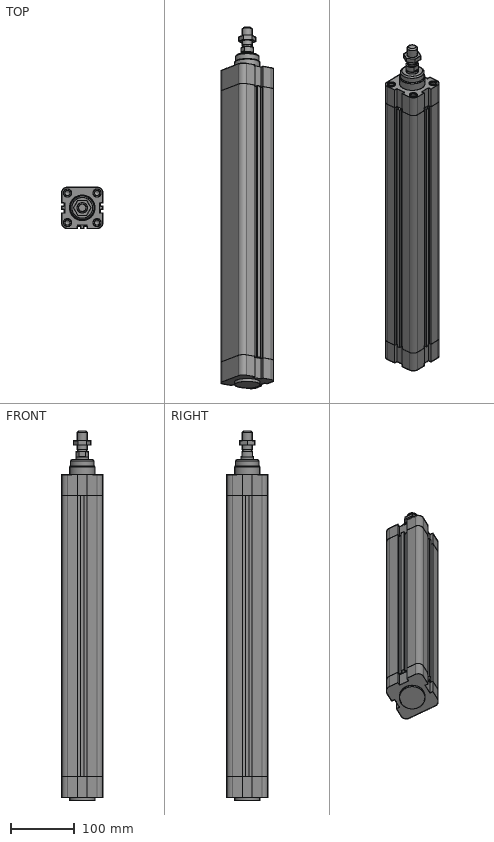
import cadquery as cq
import math

total_height = 579.0
side = 65.0
corner_radius = 9.0

pilot_height = 4.5
cap_height = 33.0
barrel_height = 440.0
barrel_bottom = pilot_height + cap_height
front_cap_bottom = barrel_bottom + barrel_height
front_cap_top = front_cap_bottom + cap_height

groove_width = 15.5
cap_groove_depth = 5.0
barrel_groove_depth = 3.5
rib_width = 5.0

pilot_diameter = 40.0
collar_diameter = 37.0
collar_base_height = 14.0
collar_height = 24.0
collar_chamfer = 2.5
collar_base_chamfer = 2.0

screw_offset = 23.0
screw_recess_diameter = 13.0
screw_recess_depth = 0.5
screw_seat_diameter = 12.0
screw_seat_depth = 1.0
socket_diameter = 8.0
socket_depth = 4.5
socket_tip_depth = 2.5

rod_diameter = 20.0
head_diameter = 19.5
head_height = 8.5
flat_spacing = 17.0
flat_height = 7.5
neck_diameter = 14.5
neck_height = 3.5
thread_diameter = 16.0
thread_length = 29.0
thread_chamfer = 2.5
neck_bottom = total_height - thread_length - neck_height
flat_bottom = neck_bottom - flat_height
head_bottom = neck_bottom - head_height

nut_across_flats = 24.0
nut_height = 7.0
nut_bottom = 557.0


def cylinder(diameter, bottom, height):
    return cq.Workplane("XY").workplane(offset=bottom).circle(diameter / 2).extrude(height)


def square_block(bottom, height):
    """Square block with rounded upright edges."""
    block = cq.Workplane("XY").workplane(offset=bottom).rect(side, side).extrude(height)
    return block.edges("|Z").fillet(corner_radius)


def side_bars(offsets, width, depth, bottom, height):
    """Upright bars just inside the -X, -Y and +X faces, one at each offset across the face."""
    bars = cq.Workplane("XY")
    for turn in (-90, 0, 90):
        for offset in offsets:
            bar = (
                cq.Workplane("XY")
                .workplane(offset=bottom)
                .center(offset, (depth - side) / 2)
                .rect(width, depth)
                .extrude(height)
            )
            bars = bars.add(bar.rotate((0, 0, 0), (0, 0, 1), turn))
    return bars.combine()


def grooved_cap(bottom):
    """Cap block with one wide groove in three of its sides."""
    grooves = side_bars((0,), groove_width, cap_groove_depth, bottom, cap_height)
    return square_block(bottom, cap_height).cut(grooves)


def screw_cutter():
    """Round recess, slightly narrower seat and cone-bottomed socket, going down from the origin."""
    socket_radius = socket_diameter / 2
    seat_radius = screw_seat_diameter / 2
    recess_radius = screw_recess_diameter / 2
    return (
        cq.Workplane("XZ")
        .moveTo(0, 0)
        .lineTo(recess_radius, 0)
        .lineTo(recess_radius, -screw_recess_depth)
        .lineTo(seat_radius, -screw_recess_depth)
        .lineTo(seat_radius, -screw_seat_depth)
        .lineTo(socket_radius, -screw_seat_depth)
        .lineTo(socket_radius, -socket_depth)
        .lineTo(0, -socket_depth - socket_tip_depth)
        .close()
        .revolve(360, (0, 0), (0, 1))
    )


def make_rear_cap():
    pilot = cylinder(pilot_diameter, 0, pilot_height)
    return grooved_cap(pilot_height).union(pilot)


def make_barrel():
    """Profile bar with two slots, either side of a rib, in three of its sides."""
    slot_width = (groove_width - rib_width) / 2
    slot_center = (rib_width + slot_width) / 2
    offsets = (-slot_center, slot_center)
    slots = side_bars(offsets, slot_width, barrel_groove_depth, barrel_bottom, barrel_height)
    return square_block(barrel_bottom, barrel_height).cut(slots)


def make_front_cap():
    base = cylinder(pilot_diameter, front_cap_top, collar_base_height)
    base = base.faces(">Z").chamfer(collar_base_chamfer)
    collar = cylinder(collar_diameter, front_cap_top, collar_height)
    collar = collar.faces(">Z").chamfer(collar_chamfer)
    rod_hole = cylinder(rod_diameter, front_cap_bottom, cap_height + collar_height)
    cap = grooved_cap(front_cap_bottom).union(base).union(collar).cut(rod_hole)
    for x in (-screw_offset, screw_offset):
        for y in (-screw_offset, screw_offset):
            cap = cap.cut(screw_cutter().translate((x, y, front_cap_top)))
    return cap


def make_rod():
    """Rod standing on the barrel, with a flatted head, a neck and a threaded end."""
    shank = cylinder(rod_diameter, front_cap_bottom, head_bottom - front_cap_bottom)
    head = cylinder(head_diameter, head_bottom, head_height)
    flats = (
        cq.Workplane("XY")
        .workplane(offset=flat_bottom)
        .rect(head_diameter, head_diameter)
        .rect(head_diameter, flat_spacing)
        .extrude(flat_height)
    )
    neck = cylinder(neck_diameter, neck_bottom, neck_height)
    thread = cylinder(thread_diameter, total_height - thread_length, thread_length)
    thread = thread.faces(">Z").chamfer(thread_chamfer)
    return head.cut(flats).union(shank).union(neck).union(thread)


def make_nut():
    """Hexagon nut with two corners on the X axis."""
    across_corners = nut_across_flats / math.cos(math.pi / 6)
    nut = cq.Workplane("XY").workplane(offset=nut_bottom).polygon(6, across_corners).extrude(nut_height)
    return nut.cut(cylinder(thread_diameter, nut_bottom, nut_height))


rear_cap = make_rear_cap()
barrel = make_barrel()
front_cap = make_front_cap()
rod = make_rod()
nut = make_nut()

result = cq.Compound.makeCompound(
    [rear_cap.val(), barrel.val(), front_cap.val(), rod.val(), nut.val()]
)